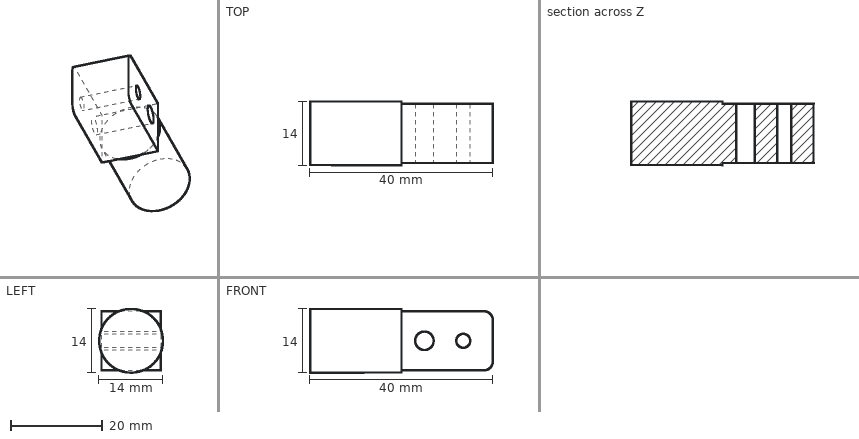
import cadquery as cq

shank_diameter = 14.0
shank_length = 20.0

block_side = 13.0
block_length = 20.0
end_corner_radius = 2.0

large_hole_diameter = 4.0
large_hole_offset = 5.0
small_hole_diameter = 3.0
small_hole_offset = 13.5


def make_shank():
    return cq.Workplane("YZ").circle(shank_diameter / 2).extrude(shank_length)


def make_block():
    block = cq.Workplane("YZ", origin=(shank_length, 0, 0)).rect(block_side, block_side).extrude(block_length)
    return block.faces(">X").edges("|Y").fillet(end_corner_radius)


def make_cross_hole(diameter, offset):
    hole_axis = cq.Workplane("XZ").center(shank_length + offset, 0)
    return hole_axis.circle(diameter / 2).extrude(block_side / 2, both=True)


result = make_shank().union(make_block())
result = result.cut(make_cross_hole(large_hole_diameter, large_hole_offset))
result = result.cut(make_cross_hole(small_hole_diameter, small_hole_offset))